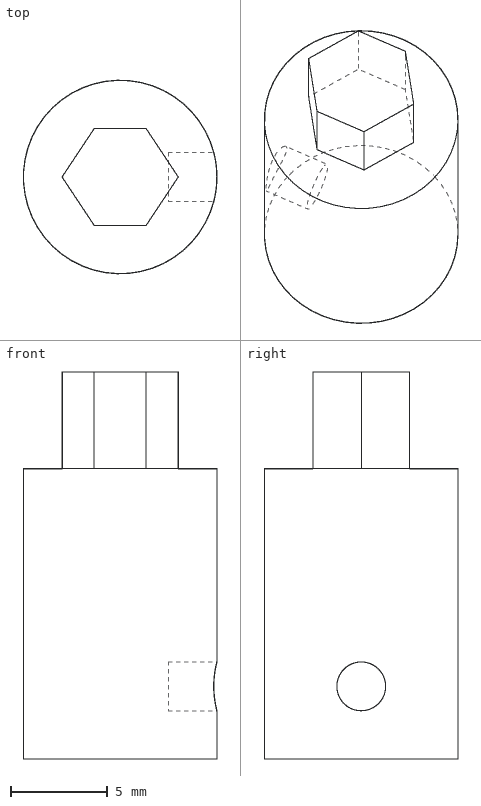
import cadquery as cq

body_diameter = 10.0
body_height = 15.0

total_height = 20.0
hex_across_flats = 5.0
hex_across_corners = 6.0
hex_flat_length = 2.68

side_hole_diameter = 2.52
side_hole_height = 3.75
side_hole_depth = body_diameter / 4


def make_body():
    return cq.Workplane("XY").circle(body_diameter / 2).extrude(body_height)


def make_hex_drive():
    corner_x = hex_across_corners / 2
    flat_x = hex_flat_length / 2
    flat_y = hex_across_flats / 2
    outline = [
        (corner_x, 0),
        (flat_x, flat_y),
        (-flat_x, flat_y),
        (-corner_x, 0),
        (-flat_x, -flat_y),
        (flat_x, -flat_y),
    ]
    return (
        cq.Workplane("XY")
        .workplane(offset=body_height)
        .polyline(outline)
        .close()
        .extrude(total_height - body_height)
    )


def make_side_hole():
    return (
        cq.Workplane("YZ")
        .workplane(offset=body_diameter / 2 - side_hole_depth)
        .center(0, side_hole_height)
        .circle(side_hole_diameter / 2)
        .extrude(side_hole_depth)
    )


result = make_body().union(make_hex_drive()).cut(make_side_hole())